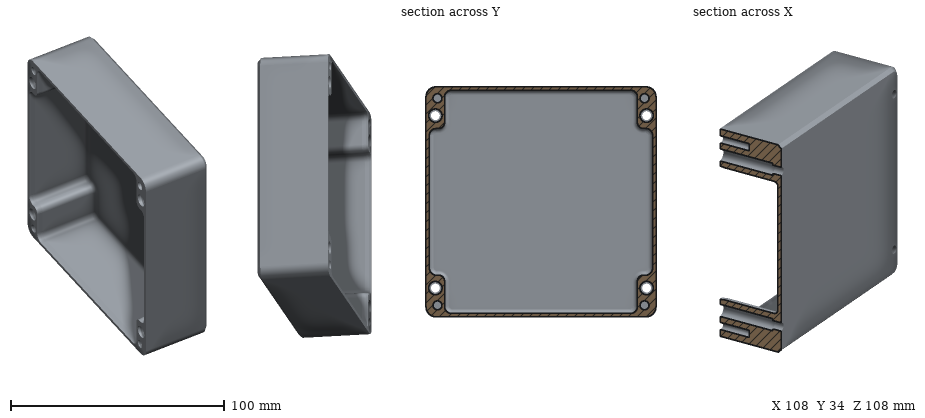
import cadquery as cq
import math

side = 108.0
depth = 34.0
outer_corner_radius = 5.0
back_chamfer = 1.7

wall = 1.8
floor = 2.0
cavity_corner_radius = 3.0
floor_fillet = 2.0

block_width = 9.0
block_height = 19.8

mouth_offset = 0.2
mouth_straight_depth = 1.0
mouth_taper_depth = 1.9

lid_hole_diameter = 4.0
lid_hole_inset = 5.5
lid_hole_depth = 16.2
mount_hole_diameter = 4.1
mount_bore_diameter = 6.0
mount_inset_x = 4.5
mount_inset_z = 13.6
mount_shoulder = 5.0


def face_plane(y):
    """Workplane parallel to the rim at the given Y, facing +Y (its local X is mirrored)."""
    return cq.Workplane(cq.Plane(origin=(0, y, 0), xDir=(-1, 0, 0), normal=(0, 1, 0)))


def cavity_prism(start, length, offset=0.0, taper=0.0):
    """Cross-shaped cavity section grown outwards by offset, extruded towards +Y."""
    half = side / 2 - wall + offset
    arm_x = side / 2 - block_width + offset
    arm_z = side / 2 - block_height + offset
    outer_radius = cavity_corner_radius + offset
    block_radius = cavity_corner_radius - offset
    bar = face_plane(start).rect(2 * half, 2 * arm_z).extrude(length)
    bar = bar.edges("|Y").fillet(outer_radius)
    column = face_plane(start).rect(2 * arm_x, 2 * half).extrude(length)
    column = column.edges("|Y").fillet(outer_radius)
    cross = bar.union(column)
    margin = cavity_corner_radius
    block_edges = cq.selectors.BoxSelector(
        (-arm_x - margin, start - margin, -arm_z - margin),
        (arm_x + margin, start + length + margin, arm_z + margin),
    )
    cross = cross.edges("|Y").edges(block_edges).fillet(block_radius)
    if taper:
        section = cross.faces("<Y").wires().val()
        cross = face_plane(start).add(section).toPending().extrude(length, taper=taper)
    return cross


def corner_points(inset_x, inset_z):
    """One point in each corner, inset from the outer sides."""
    x = side / 2 - inset_x
    z = side / 2 - inset_z
    return [(sx * x, sz * z) for sx in (-1, 1) for sz in (-1, 1)]


def corner_holes(points, diameter, length):
    """Cylinders that start at the rim."""
    return face_plane(0).pushPoints(points).circle(diameter / 2).extrude(length)


body = face_plane(0).rect(side, side).extrude(depth)
body = body.edges("|Y").fillet(outer_corner_radius)
body = body.faces(">Y").edges().chamfer(back_chamfer)

cavity = cavity_prism(0, depth - floor).faces(">Y").edges().fillet(floor_fillet)

taper_angle = math.degrees(math.atan2(mouth_offset, mouth_taper_depth))
mouth = cavity_prism(0, mouth_straight_depth, mouth_offset)
mouth_taper = cavity_prism(mouth_straight_depth, mouth_taper_depth, mouth_offset, taper_angle)

lid_holes = corner_holes(corner_points(lid_hole_inset, lid_hole_inset), lid_hole_diameter, lid_hole_depth)
mount_points = corner_points(mount_inset_x, mount_inset_z)
mount_holes = corner_holes(mount_points, mount_hole_diameter, depth)
mount_bores = corner_holes(mount_points, mount_bore_diameter, depth - mount_shoulder)

result = body.cut(cavity).cut(mouth).cut(mouth_taper)
result = result.cut(lid_holes).cut(mount_holes).cut(mount_bores)